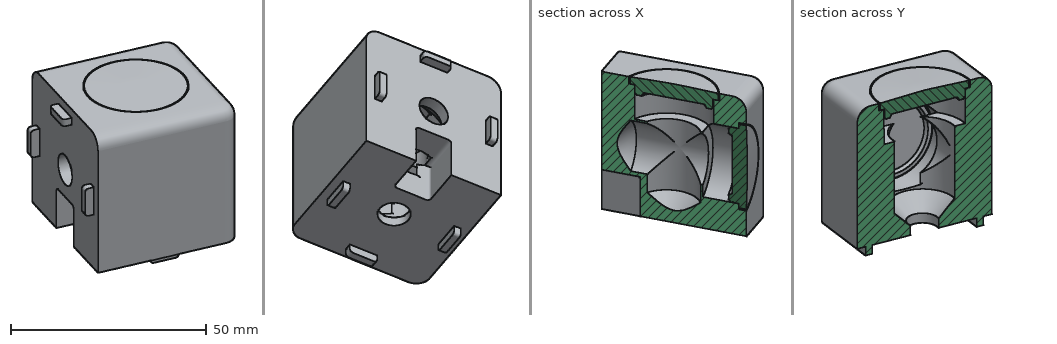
import cadquery as cq

CUBE = 40.0
HALF = CUBE / 2
EDGE_RADIUS = 4.0

TAB_HEIGHT = 2.5
TAB_LENGTH = 8.1
TAB_WIDTH = 2.0
TAB_RADIUS = 1.0
TAB_OFFSET = 16.45

SLOT_WIDTH = 10.5
SLOT_HEIGHT = 12.0
SLOT_DEPTH = 11.22
SLOT_RADIUS = 1.0

HOLE_RADIUS = 8.5 / 2
FRONT_HOLE_DEPTH = 3.5
BOTTOM_HOLE_DEPTH = 2.8
FLARE_LENGTH = 4.6
BORE_RADIUS = 17.85 / 2
CHAMBER_RADIUS = 24.0 / 2
CHAMBER_START = 28.0
SEAT_DEPTH = 2.0
SEAT_RADIUS = 13.5

FLANGE_RADIUS = 26.5 / 2
CONE_RISE = 0.5
PLUG_LENGTH = 3.0
PLUG_CHAMFER = 0.5
DISH_RIM_RADIUS = 10.35
DISH_FLOOR_RADIUS = 9.75
DISH_DEPTH = 1.0


def onto_y_axis(shape):
    """Turn a shape made along Z so that its +Z end faces +Y."""
    return shape.rotate((0, 0, 0), (1, 0, 0), -90)


def revolve_about_z(profile):
    """Revolve a closed (radius, z) profile about the Z axis."""
    return cq.Workplane("XZ").polyline(profile).close().revolve(360, (0, 0), (0, 1))


def make_cavity(hole_depth):
    """Opening from the hole in the -Z face to the button recess in the +Z face."""
    seat_z = HALF - SEAT_DEPTH
    flare_z = hole_depth - HALF
    bore_z = flare_z + FLARE_LENGTH
    chamber_z = CHAMBER_START - HALF
    return revolve_about_z([
        (0, -HALF),
        (HOLE_RADIUS, -HALF),
        (HOLE_RADIUS, flare_z),
        (BORE_RADIUS, bore_z),
        (BORE_RADIUS, chamber_z),
        (CHAMBER_RADIUS, chamber_z),
        (CHAMBER_RADIUS, seat_z),
        (SEAT_RADIUS, seat_z),
        (SEAT_RADIUS, HALF),
        (0, HALF),
    ])


def make_button():
    """Button in the +Z face: low cone on a flange, with a dished plug below."""
    seat_z = HALF - SEAT_DEPTH
    plug_z = seat_z - PLUG_LENGTH
    return revolve_about_z([
        (0, HALF + CONE_RISE),
        (FLANGE_RADIUS, HALF),
        (FLANGE_RADIUS, seat_z),
        (CHAMBER_RADIUS, seat_z),
        (CHAMBER_RADIUS, plug_z + PLUG_CHAMFER),
        (CHAMBER_RADIUS - PLUG_CHAMFER, plug_z),
        (DISH_RIM_RADIUS, plug_z),
        (DISH_FLOOR_RADIUS, plug_z + DISH_DEPTH),
        (0, plug_z + DISH_DEPTH),
    ])


def make_slot():
    """Cable slot with rounded ceiling and back edges."""
    block = cq.Workplane("XY").box(SLOT_WIDTH, SLOT_DEPTH, SLOT_HEIGHT)
    round_back = block.edges("|Z and >Y").fillet(SLOT_RADIUS)
    round_ceiling = block.edges("|Y and >Z").fillet(SLOT_RADIUS)
    slot = round_back.intersect(round_ceiling)
    return slot.translate((0, (SLOT_DEPTH - CUBE) / 2, (SLOT_HEIGHT - CUBE) / 2))


def make_tab():
    """Tab on the -Z face, long in X, with rounded lower corners."""
    return (
        cq.Workplane("XY")
        .box(TAB_LENGTH, TAB_WIDTH, TAB_HEIGHT)
        .edges("|Y and <Z").fillet(TAB_RADIUS)
        .translate((0, TAB_OFFSET, -HALF - TAB_HEIGHT / 2))
    )


def make_tabs(turns):
    """Tabs on the -Z face, each turned about Z from the +Y edge."""
    tabs = cq.Workplane("XY")
    for turn in turns:
        tabs = tabs.add(make_tab().rotate((0, 0, 0), (0, 0, 1), turn))
    return tabs


def make_housing():
    """Rounded cube with both cavities, the cable slot and six tabs."""
    body = (
        cq.Workplane("XY")
        .box(CUBE, CUBE, CUBE)
        .edges("(|Y and >Z) or (|Z and >Y) or (>Y and >Z)").fillet(EDGE_RADIUS)
    )
    body = body.cut(make_cavity(BOTTOM_HOLE_DEPTH))
    body = body.cut(onto_y_axis(make_cavity(FRONT_HOLE_DEPTH)))
    body = body.cut(make_slot())
    bottom_tabs = make_tabs((0, 90, -90))
    front_tabs = onto_y_axis(make_tabs((180, 90, -90)))
    for tab in bottom_tabs.vals() + front_tabs.vals():
        body = body.union(cq.Workplane(tab))
    return body


housing = make_housing()
top_button = make_button()
back_button = onto_y_axis(make_button())

result = cq.Compound.makeCompound([housing.val(), top_button.val(), back_button.val()])